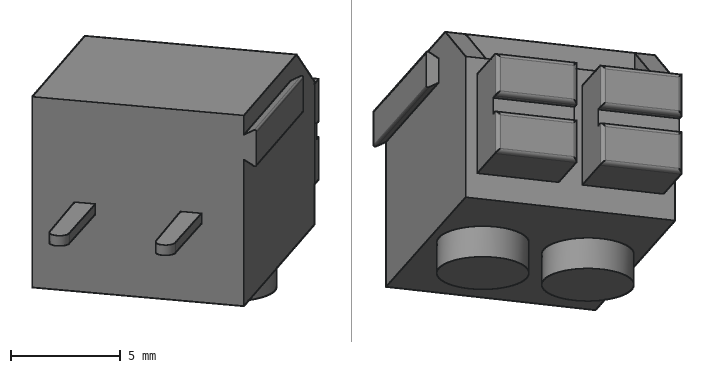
import cadquery as cq

body_width = 10.0
body_length = 12.1
body_height = 9.17
slope_length = 3.09
slope_drop = 2.32
ear_width = 0.97

pitch = 5.0
pole_positions = (-pitch / 2, pitch / 2)

head_width = 3.88
head_height = 4.83
head_length = 2.9
head_bottom = 1.23
head_rounding = 0.2
slot_width = 0.77
slot_depth = 0.5

pin_length = 4.81
pin_root_width = 0.99
pin_tip_width = 0.91
pin_thickness = 0.5
pin_height = 4.04

foot_diameter = 4.2
foot_height = 1.48
foot_setback = 5.33

rail_projection = 0.6
rail_rounding = 0.08
rail_length = 8.0
rail_root_height = 1.19
rail_outer_height = 1.86
rail_center_drop = 1.52


def make_housing():
    """Block with a sloped rear top edge, stepped down between two ears."""
    shoulder = body_height - slope_drop
    slope_start = body_length - slope_length
    block = (
        cq.Workplane("YZ")
        .moveTo(0, 0)
        .lineTo(body_length, 0)
        .lineTo(body_length, shoulder)
        .lineTo(slope_start, body_height)
        .lineTo(0, body_height)
        .close()
        .extrude(body_width / 2, both=True)
    )
    step = (
        cq.Workplane("XY")
        .box(body_width - 2 * ear_width, slope_length, slope_drop, centered=(True, False, False))
        .translate((0, slope_start, shoulder))
    )
    return block.cut(step)


def make_screw_head(x):
    """Rectangular head with a slot along X and rounded rear edges."""
    slot_floor = head_length - slot_depth
    head = cq.Workplane("XY").box(head_width, head_length, head_height, centered=(True, False, True))
    slot = (
        cq.Workplane("XY")
        .box(head_width, slot_depth, slot_width, centered=(True, False, True))
        .translate((0, slot_floor, 0))
    )
    head = head.cut(slot).faces(">Y").edges().fillet(head_rounding)
    return head.translate((x, body_length, head_bottom + head_height / 2))


def make_pin(x):
    """Flat, slightly tapered pin with a semicircular tip."""
    tip_radius = pin_tip_width / 2
    arc_start = tip_radius - pin_length
    return (
        cq.Workplane("XY")
        .moveTo(-pin_root_width / 2, 0)
        .lineTo(-tip_radius, arc_start)
        .threePointArc((0, -pin_length), (tip_radius, arc_start))
        .lineTo(pin_root_width / 2, 0)
        .close()
        .extrude(pin_thickness / 2, both=True)
        .translate((x, 0, pin_height))
    )


def make_foot(x):
    """Round foot below the housing."""
    return (
        cq.Workplane("XY")
        .center(x, body_length - foot_setback)
        .circle(foot_diameter / 2)
        .extrude(-foot_height)
    )


def make_rail():
    """Dovetail that widens outward and has rounded outer edges."""
    root_x = body_width / 2
    outer_x = root_x + rail_projection
    root_half = rail_root_height / 2
    outer_half = rail_outer_height / 2
    return (
        cq.Workplane("XZ")
        .moveTo(root_x, -root_half)
        .lineTo(outer_x, -outer_half)
        .lineTo(outer_x, outer_half)
        .lineTo(root_x, root_half)
        .close()
        .extrude(-rail_length)
        .edges("|Y and >X")
        .fillet(rail_rounding)
        .translate((0, 0, body_height - rail_center_drop))
    )


result = make_housing().union(make_rail())
for pole_x in pole_positions:
    result = result.union(make_screw_head(pole_x))
    result = result.union(make_pin(pole_x))
    result = result.union(make_foot(pole_x))